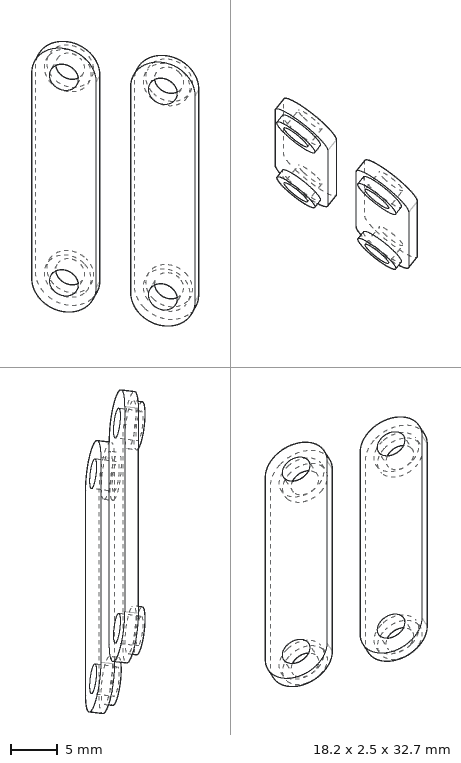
import cadquery as cq

link_length = 32.7
link_width = 7.2
total_depth = 2.5
plate_thickness = 1.5
boss_diameter = 5.2
hole_diameter = 3.2
link_pitch = 11.02

hole_spacing = link_length - link_width
boss_height = total_depth - plate_thickness
hole_centers = [(0, -hole_spacing / 2), (0, hole_spacing / 2)]


def back_plane(y):
    """XZ workplane at depth y, extruding toward +Y, with local y along +Z."""
    return cq.Workplane(cq.Plane(origin=(0, y, 0), xDir=(-1, 0, 0), normal=(0, 1, 0)))


def make_link(center_x):
    """Round-ended plate with a bored boss at each end of its +Y face."""
    plate = back_plane(0).slot2D(link_length, link_width, angle=90).extrude(plate_thickness)
    bosses = (
        back_plane(plate_thickness)
        .pushPoints(hole_centers)
        .circle(boss_diameter / 2)
        .extrude(boss_height)
    )
    holes = back_plane(0).pushPoints(hole_centers).circle(hole_diameter / 2).extrude(total_depth)
    return plate.union(bosses).cut(holes).translate((center_x, 0, 0))


links = [make_link(center_x) for center_x in (-link_pitch / 2, link_pitch / 2)]

result = cq.Compound.makeCompound([link.solids().val() for link in links])